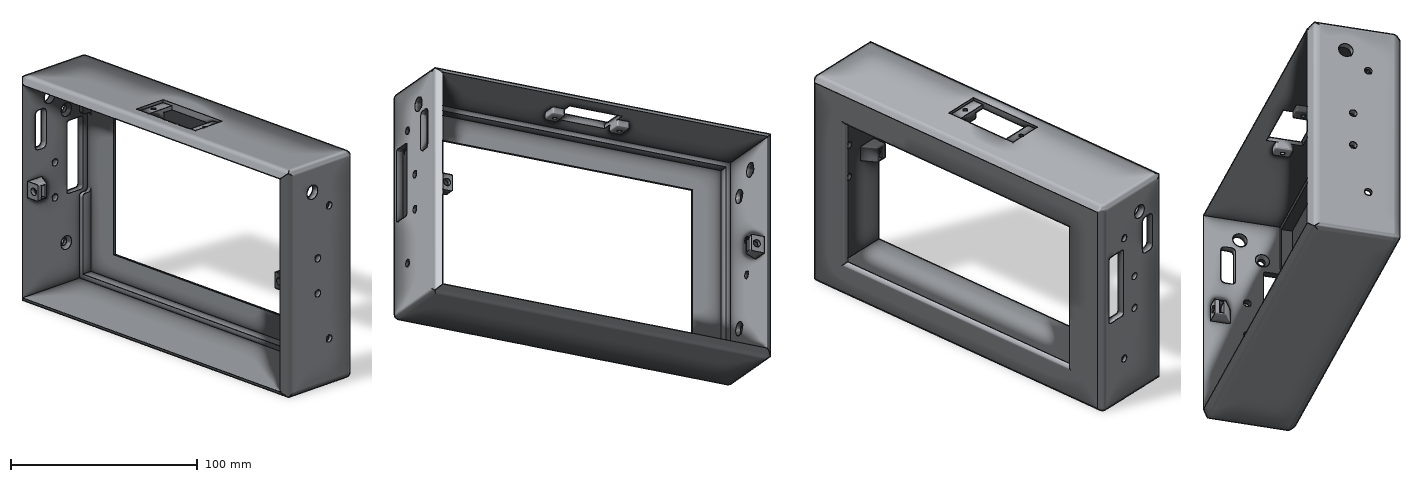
import cadquery as cq

LENGTH = 205.0
DEPTH = 51.5
HEIGHT = 130.0
FRONT_Y = -DEPTH / 2
BACK_Y = DEPTH / 2

INNER_LENGTH = 197.0
WALL = (LENGTH - INNER_LENGTH) / 2
PANEL = 2.7
CORNER_RADIUS = 3.0
FRONT_CHAMFER = WALL
FRONT_BLEND_RADIUS = 5.1
BACK_CHAMFER = 2.9
BACK_BLEND_RADIUS = 3.0

INNER_HEIGHT = HEIGHT - 2 * WALL
INNER_X = INNER_LENGTH / 2
PANEL_Y = BACK_Y - PANEL

WINDOW_LENGTH = 157.2
WINDOW_HEIGHT = 87.7
WINDOW_EDGE_RADIUS = 2.0

STEP_FRONT_Y = 17.0
STEP_OPENING_LENGTH = 191.9
STEP_OPENING_HEIGHT = 116.2

POST_FRONT_Y = FRONT_Y + FRONT_CHAMFER
POST_DEPTH = 6.4
POST_REACH = 8.0
POST_HEIGHT = 9.5
POST_SUPPORT_DEPTH = 4.7
POST_EDGE_RADIUS = 1.0
POST_HOLE_DIAMETER = 4.0
POST_HOLE_X = 93.9
NUT_SLOT_FRONT = 2.7
NUT_SLOT_THICKNESS = 2.5
NUT_SLOT_HEIGHT = 7.2
NUT_SLOT_DEPTH = 6.5
POST_HOLE_DEPTH = NUT_SLOT_FRONT + NUT_SLOT_THICKNESS

SCREW_HOLE_DIAMETER = 4.0
CENTRE_HOLES = [(-1.2, 10.0), (-1.2, -10.0)]
OUTER_HOLES = [(7.2, 38.1), (7.2, -38.1)]
COUNTERSINK_DIAMETER = 7.8
COUNTERSINK_DEPTH = (COUNTERSINK_DIAMETER - SCREW_HOLE_DIAMETER) / 2
CABLE_HOLE_DIAMETER = 8.0
CABLE_HOLE = (-5.3, 49.0)

CARD_SLOT_Y = 13.7
CARD_SLOT_Z = 10.5
CARD_SLOT_WIDTH = 11.9
CARD_SLOT_HEIGHT = 41.8
CARD_SLOT_RADIUS = 1.5
RELIEF_RADIUS = 1.8
SWITCH_SLOT_Y = -11.9
SWITCH_SLOT_Z = 32.0
SWITCH_SLOT_WIDTH = 8.2
SWITCH_SLOT_HEIGHT = 22.8
SWITCH_SLOT_RADIUS = 2.5

SEAT_Y = -4.7
SEAT_LENGTH = 45.0
SEAT_WIDTH = 20.0
SEAT_DEPTH = 1.6
SEAT_OPENING_LENGTH = 31.8
SEAT_HOLE_X = 19.7
SEAT_HOLE_DIAMETER = 2.5
BOSS_LENGTH = 7.4
BOSS_WIDTH = 10.0
BOSS_DROP = 4.3
BOSS_EDGE_RADIUS = 1.2

MARGIN = 0.2


def block(x_range, y_range, z_range):
    """Box between the given limits on each axis."""
    spans = [(low, high - low) for low, high in (x_range, y_range, z_range)]
    corner = cq.Vector(*[low for low, _ in spans])
    return cq.Workplane(cq.Solid.makeBox(*[size for _, size in spans], corner))


def centred(middle, size):
    """Limits of a span of the given size."""
    return (middle - size / 2, middle + size / 2)


def opening(length, height, y_range):
    """Block centred on the Y axis between two depths."""
    return block(centred(0, length), y_range, centred(0, height))


def bar_with_blended_front(direction, ends):
    """Full-size box whose two front edges along one axis are chamfered and blended into the sides."""
    bar = opening(LENGTH, HEIGHT, (FRONT_Y, BACK_Y))
    bar = bar.edges(f"|{direction}").edges("<Y").chamfer(FRONT_CHAMFER)
    outer_edges = bar.edges(f"|{direction}").edges(f"<{ends} or >{ends}").edges("<Y")
    return outer_edges.fillet(FRONT_BLEND_RADIUS)


def outer_body():
    """Solid outer form: rounded corners, bevelled back rim and mitred front rim."""
    body = opening(LENGTH, HEIGHT, (FRONT_Y, BACK_Y))
    body = body.edges("|Y").fillet(CORNER_RADIUS)
    body = body.faces(">Y").chamfer(BACK_CHAMFER)
    rim_y = BACK_Y - BACK_CHAMFER
    rim = cq.selectors.BoxSelector(
        (-LENGTH, rim_y - MARGIN, -HEIGHT), (LENGTH, rim_y + MARGIN, HEIGHT)
    )
    body = body.edges(rim).fillet(BACK_BLEND_RADIUS)
    body = body.intersect(bar_with_blended_front("Z", "X"))
    return body.intersect(bar_with_blended_front("X", "Z"))


def hollow(body):
    """Cut the cavity, the narrower opening inside the step and the window."""
    body = body.cut(opening(INNER_LENGTH, INNER_HEIGHT, (FRONT_Y, STEP_FRONT_Y)))
    body = body.cut(opening(STEP_OPENING_LENGTH, STEP_OPENING_HEIGHT, (FRONT_Y, PANEL_Y)))
    body = body.cut(opening(WINDOW_LENGTH, WINDOW_HEIGHT, (FRONT_Y, BACK_Y)))
    rim = cq.selectors.BoxSelector(
        (-WINDOW_LENGTH / 2 - MARGIN, BACK_Y - MARGIN, -WINDOW_HEIGHT / 2 - MARGIN),
        (WINDOW_LENGTH / 2 + MARGIN, BACK_Y + MARGIN, WINDOW_HEIGHT / 2 + MARGIN),
    )
    return body.edges(rim).fillet(WINDOW_EDGE_RADIUS)


def relieve_step(body):
    """Open a gap in the step beside the card slot, with rounded edges at both of its ends."""
    depth_range = (STEP_FRONT_Y, PANEL_Y)
    edge_x = -STEP_OPENING_LENGTH / 2
    x_range = (-INNER_X, edge_x)
    gap = block(x_range, depth_range, centred(CARD_SLOT_Z, CARD_SLOT_HEIGHT + 2 * RELIEF_RADIUS))
    gap = gap.edges("|X").edges(">Y").fillet(RELIEF_RADIUS)
    body = body.cut(gap)
    reach = CARD_SLOT_HEIGHT / 2 + RELIEF_RADIUS + MARGIN
    ends = cq.selectors.BoxSelector(
        (-INNER_X, STEP_FRONT_Y - MARGIN, CARD_SLOT_Z - reach),
        (edge_x, STEP_FRONT_Y + MARGIN, CARD_SLOT_Z + reach),
    )
    return body.edges("|X").edges(ends).fillet(RELIEF_RADIUS)


def post(side):
    """Lid post on one end wall, with a sloping support behind it."""
    wall_x = side * INNER_X
    tip_x = side * (INNER_X - POST_REACH)
    root_x = side * (INNER_X + WALL / 2)
    straight_y = POST_FRONT_Y + POST_DEPTH
    support_y = straight_y + POST_SUPPORT_DEPTH
    outline = [
        (root_x, POST_FRONT_Y),
        (tip_x, POST_FRONT_Y),
        (tip_x, straight_y),
        (wall_x, support_y),
        (root_x, support_y),
    ]
    body = cq.Workplane("XY").polyline(outline).close().extrude(POST_HEIGHT / 2, both=True)
    rounded = cq.selectors.BoxSelector(
        (tip_x - side * MARGIN, POST_FRONT_Y + MARGIN, -POST_HEIGHT),
        (wall_x - side * MARGIN, support_y, POST_HEIGHT),
    )
    return body.edges(rounded).fillet(POST_EDGE_RADIUS)


def post_hole(side):
    """Screw hole in the front of a lid post."""
    centre = (side * POST_HOLE_X, POST_FRONT_Y, 0)
    circle = cq.Workplane("XZ", origin=centre).circle(POST_HOLE_DIAMETER / 2)
    return circle.extrude(-POST_HOLE_DEPTH)


def nut_slot(side):
    """Slot from the tip of a lid post, crossing its screw hole."""
    tip_x = INNER_X - POST_REACH
    x_range = sorted((side * tip_x, side * (tip_x + NUT_SLOT_DEPTH)))
    front_y = POST_FRONT_Y + NUT_SLOT_FRONT
    return block(x_range, (front_y, front_y + NUT_SLOT_THICKNESS), centred(0, NUT_SLOT_HEIGHT))


def side_hole(place, diameter):
    """Round bar along X through both end walls."""
    return cq.Workplane("YZ").center(*place).circle(diameter / 2).extrude(LENGTH / 2, both=True)


def countersink(place, side):
    """Cone that widens a screw hole toward the inside of one end wall."""
    y, z = place
    cone = cq.Solid.makeCone(
        COUNTERSINK_DIAMETER / 2,
        SCREW_HOLE_DIAMETER / 2,
        COUNTERSINK_DEPTH,
        cq.Vector(side * INNER_X, y, z),
        cq.Vector(side, 0, 0),
    )
    return cq.Workplane(cone)


def end_wall_slot(y, z, width, height, radius):
    """Round-cornered slot through the -X wall."""
    slot = block((-LENGTH / 2, -INNER_X), centred(y, width), centred(z, height))
    return slot.edges("|X").fillet(radius)


def boss(side):
    """Rounded screw boss hanging below one end of the switch seat."""
    inner_x = SEAT_OPENING_LENGTH / 2
    x_range = sorted((side * inner_x, side * (inner_x + BOSS_LENGTH)))
    ceiling = INNER_HEIGHT / 2
    seat_floor = HEIGHT / 2 - SEAT_DEPTH
    body = block(x_range, centred(SEAT_Y, BOSS_WIDTH), (ceiling - BOSS_DROP, seat_floor))
    return body.edges("|Z or <Z").fillet(BOSS_EDGE_RADIUS)


def boss_hole(side):
    """Screw hole down through the seat and its boss."""
    centre = (side * SEAT_HOLE_X, SEAT_Y, HEIGHT / 2)
    depth = WALL + BOSS_DROP
    return cq.Workplane("XY", origin=centre).circle(SEAT_HOLE_DIAMETER / 2).extrude(-depth)


def add_lid_posts(body):
    """Add a drilled and slotted lid post to each end wall."""
    for side in (-1, 1):
        body = body.union(post(side)).cut(post_hole(side)).cut(nut_slot(side))
    return body


def add_switch_seat(body):
    """Cut a shallow recess with a rectangular opening and hang a screw boss under each end."""
    top = HEIGHT / 2
    seat_span = centred(SEAT_Y, SEAT_WIDTH)
    body = body.cut(block(centred(0, SEAT_LENGTH), seat_span, (top - SEAT_DEPTH, top)))
    body = body.cut(block(centred(0, SEAT_OPENING_LENGTH), seat_span, (top - WALL, top)))
    for side in (-1, 1):
        body = body.union(boss(side)).cut(boss_hole(side))
    return body


def cut_round_holes(body):
    """Drill both end walls, countersinking the outer screw holes from inside."""
    for place in CENTRE_HOLES + OUTER_HOLES:
        body = body.cut(side_hole(place, SCREW_HOLE_DIAMETER))
    for place in OUTER_HOLES:
        for side in (-1, 1):
            body = body.cut(countersink(place, side))
    return body.cut(side_hole(CABLE_HOLE, CABLE_HOLE_DIAMETER))


def cut_slots(body):
    """Cut the card and switch slots through the -X wall."""
    card_slot = end_wall_slot(
        CARD_SLOT_Y, CARD_SLOT_Z, CARD_SLOT_WIDTH, CARD_SLOT_HEIGHT, CARD_SLOT_RADIUS
    )
    switch_slot = end_wall_slot(
        SWITCH_SLOT_Y, SWITCH_SLOT_Z, SWITCH_SLOT_WIDTH, SWITCH_SLOT_HEIGHT, SWITCH_SLOT_RADIUS
    )
    return body.cut(card_slot).cut(switch_slot)


result = hollow(outer_body())
result = add_lid_posts(result)
result = add_switch_seat(result)
result = cut_round_holes(result)
result = cut_slots(result)
result = relieve_step(result)